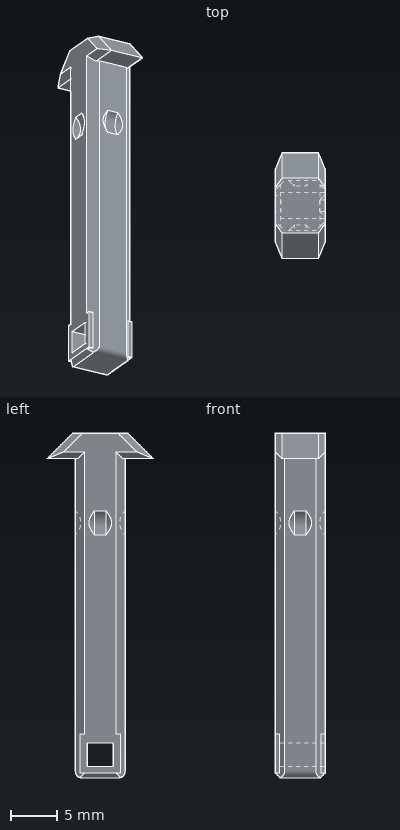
import cadquery as cq

length = 37.15
shaft_width = 5.4
half_width = shaft_width / 2
shaft_chamfer = 1.0

head_span = 11.45
head_height = 2.75
head_chamfer = 0.75

cheek_width = 4.35
cheek_top = 4.75
window_width = 2.8
window_height = 2.5
window_bottom = 1.25
foot_chamfer = 0.55
foot_radius = 0.75

dimple_z = 27.5
dimple_radius = 1.7
dimple_depth = 0.6
dimple_floor_width = 1.25


def make_shaft():
    """Square shaft with bevelled corners."""
    shaft = cq.Workplane("XY").rect(shaft_width, shaft_width).extrude(length)
    return shaft.edges("|Z").chamfer(shaft_chamfer)


def make_cheeks():
    """Block that squares up the X sides of the foot, starting above its bottom bevel."""
    return (
        cq.Workplane("XY", origin=(0, 0, foot_chamfer))
        .rect(shaft_width, cheek_width)
        .extrude(cheek_top - foot_chamfer)
    )


def make_foot_envelope():
    """Full-size block whose bottom edges are bevelled along Y and rounded along X."""
    block = cq.Workplane("XY").rect(shaft_width, shaft_width).extrude(length)
    bevelled = block.edges("<Z and |Y").chamfer(foot_chamfer)
    rounded = block.edges("<Z and |X").fillet(foot_radius)
    return bevelled.intersect(rounded)


def make_head():
    """Head with 45 degree flanks, bevelled around both X faces except on top."""
    head_bottom = length - head_height
    half_span = head_span / 2
    half_top = half_span - head_height
    head = (
        cq.Workplane("YZ")
        .polyline([(-half_span, head_bottom), (half_span, head_bottom), (half_top, length), (-half_top, length)])
        .close()
        .extrude(half_width, both=True)
    )
    end_edges = head.faces("<X or >X").edges("not(>Z)")
    return end_edges.chamfer(head_chamfer)


def make_dimple_disc():
    """Bevelled disc, its axis along X, that dips into the -Y face."""
    half_floor = dimple_floor_width / 2
    half_disc = half_floor + dimple_radius
    axis_y = -half_width - dimple_radius + dimple_depth
    return (
        cq.Workplane("XY")
        .polyline([(-half_disc, 0), (-half_floor, dimple_radius), (half_floor, dimple_radius), (half_disc, 0)])
        .close()
        .revolve(360, (0, 0, 0), (1, 0, 0))
        .translate((0, axis_y, dimple_z))
    )


def make_window():
    return (
        cq.Workplane("XY", origin=(0, 0, window_bottom))
        .rect(shaft_width, window_width)
        .extrude(window_height)
    )


result = make_shaft().intersect(make_foot_envelope())
result = result.union(make_cheeks()).union(make_head()).cut(make_window())

dimple_disc = make_dimple_disc()
for turn in (0, 90, 180, 270):
    result = result.cut(dimple_disc.rotate((0, 0, 0), (0, 0, 1), turn))